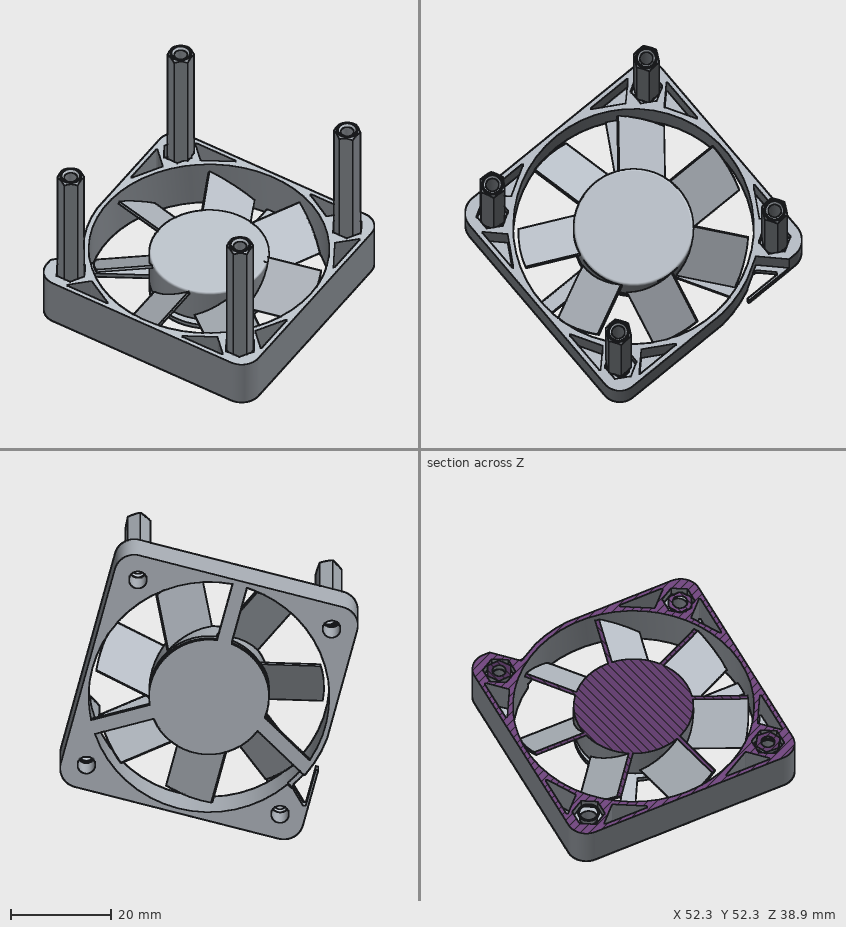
import cadquery as cq
import math


fan_turn = -3.23
half_side = 25.0
corner_radius = 4.0
housing_height = 10.6
bore_radius = 24.0
duct_radius = 25.1
mount_offset = 20.0
mount_hole_radius = 1.8

recess_rim = 1.0
recess_side_gap = 5.45
recess_duct_distance = 25.0
recess_slant = math.radians(30)
recess_fillet = 0.15
recess_floor = 2.5

lip_height = 2.5
lip_thickness = 0.5
lip_end = -9.15
outlet_ledge = 1.45
lip_fillet = 0.35
ledge_fillet = 1.0
outlet_start = math.sqrt(duct_radius**2 - half_side**2)
overcut = 2.6

base_radius = 12.0
base_thickness = 1.0
strut_width = 3.0
wire_channel_angle = 210
wire_channel_width = 3.65
strut_angles_and_shifts = [
    (90, 0),
    (wire_channel_angle, -(wire_channel_width + strut_width) / 2),
    (330, 0),
]

hub_radius = 12.0
hub_bottom = 2.5
hub_top = 10.0
hub_fillet = 0.5
blade_count = 7
first_blade_angle = 9.5
blade_tip_radius = 22.95
blade_high_edge = 2.9
blade_low_edge = -6.55
blade_high_z = 9.7
blade_low_z = 3.5
blade_thickness = 0.5

standoff_across_flats = 4.65
standoff_length = 30.0
standoff_bore_radius = 1.3
standoff_countersink_radius = 1.85
standoff_rim_radius = 2.15
seat_across_flats = 5.6
standoff_places = [
    (1, -1, 0, 0, 38.9),
    (-1, 1, 0.65, 0, 38.55),
    (1, 1, 0, -7.5, 37.8),
    (-1, -1, 0, 0, 37.15),
]
seat_floor = min(place[4] for place in standoff_places) - standoff_length


def turned(body):
    """Turn a body about the fan axis from the square position to the housing's position."""
    return body.rotate((0, 0, 0), (0, 0, 1), fan_turn)


def hex_prism(across_flats, bottom, top):
    """Upright hexagonal prism on the Z axis with two corners on the X axis."""
    across_corners = across_flats / math.cos(math.radians(30))
    return cq.Workplane("XY").workplane(offset=bottom).polygon(6, across_corners).extrude(top - bottom)


def upright_edge(x, y):
    """Selector for the vertical edge nearest to a point in the lower part of the housing."""
    return cq.selectors.NearestToPointSelector((x, y, lip_height / 2))


def recess_apex(side_gap):
    """Corner of a recess in the -X -Y corner, where its side y = x - side_gap meets the duct side."""
    x = (side_gap - recess_duct_distance / math.cos(recess_slant)) / (1 + math.tan(recess_slant))
    return x, x - side_gap


def corner_recess():
    """Triangular recess beside the -Y side, next to the -X -Y corner."""
    base_y = recess_rim - half_side
    tip_x = -(recess_duct_distance + base_y * math.cos(recess_slant)) / math.sin(recess_slant)
    return (
        cq.Workplane("XY").workplane(offset=recess_floor)
        .polyline([(base_y + recess_side_gap, base_y), (tip_x, base_y), recess_apex(recess_side_gap)]).close()
        .extrude(housing_height - recess_floor)
        .edges("|Z").fillet(recess_fillet)
    )


def outlet_space(side_gap, bottom, top):
    """Space between the duct wall and the -X side, closed by a 45 degree side y = x + side_gap."""
    outer = -half_side - overcut
    straight_angle = math.pi + recess_slant - math.acos(recess_duct_distance / duct_radius)
    start_angle = math.pi + math.asin(outlet_start / duct_radius)
    middle_angle = (start_angle + straight_angle) / 2
    apex_y, apex_x = recess_apex(side_gap)
    return (
        cq.Workplane("XY").workplane(offset=bottom)
        .moveTo(-half_side, -outlet_start)
        .threePointArc(
            (duct_radius * math.cos(middle_angle), duct_radius * math.sin(middle_angle)),
            (duct_radius * math.cos(straight_angle), duct_radius * math.sin(straight_angle)),
        )
        .lineTo(apex_x, apex_y)
        .lineTo(outer, outer + side_gap)
        .lineTo(outer, -outlet_start)
        .close()
        .extrude(top - bottom)
    )


def wire_outlet():
    """Opening outside the duct wall, which leaves a low ledge and lip at the bottom."""
    apex_y, apex_x = recess_apex(recess_side_gap)
    upper = outlet_space(recess_side_gap, lip_height, housing_height)
    upper = upper.edges("|Z").edges(upright_edge(apex_x, apex_y)).fillet(recess_fillet)

    ledge_gap = recess_side_gap + outlet_ledge
    ledge_y, ledge_x = recess_apex(ledge_gap)
    lip_inside = lip_thickness - half_side
    lip_depth = lip_thickness + overcut
    lip_length = half_side + lip_end
    lip = (
        cq.Workplane("XY").rect(lip_depth, lip_length).extrude(lip_height)
        .translate((lip_inside - lip_depth / 2, lip_end - lip_length / 2, 0))
    )
    lower = outlet_space(ledge_gap, 0, lip_height).cut(lip)
    lower = lower.edges("|Z").edges(upright_edge(ledge_x, ledge_y)).fillet(ledge_fillet)
    lower = lower.edges("|Z").edges(upright_edge(lip_inside, lip_inside + ledge_gap)).fillet(lip_fillet)
    return upper.union(lower)


def wire_channel():
    """Low passage through the duct wall, from the bore to the wire outlet."""
    length = duct_radius - base_radius
    return (
        cq.Workplane("XY").rect(length, wire_channel_width).extrude(base_thickness)
        .translate((base_radius + length / 2, 0, 0))
        .rotate((0, 0, 0), (0, 0, 1), wire_channel_angle)
    )


def place_standoff(body, place):
    """Move a body from the Z axis to a standoff's place, with its top at the standoff's top."""
    sign_x, sign_y, shift, twist, top = place
    body = body.rotate((0, 0, 0), (0, 0, 1), twist - fan_turn)
    body = turned(body.translate((sign_x * mount_offset, sign_y * mount_offset, top - standoff_length)))
    return body.translate((shift, 0, 0))


def standoff_blank():
    """Plain hexagonal bar with two flats facing along X."""
    return hex_prism(standoff_across_flats, 0, standoff_length).rotate((0, 0, 0), (0, 0, 1), 30)


def make_standoff():
    """Hexagonal standoff with a through bore and both ends chamfered inside and out."""
    corner_reach = standoff_across_flats
    cone_height = corner_reach - standoff_rim_radius
    sink_depth = standoff_countersink_radius - standoff_bore_radius
    envelope = (
        cq.Workplane("XZ")
        .polyline([
            (standoff_bore_radius, sink_depth),
            (standoff_countersink_radius, 0),
            (standoff_rim_radius, 0),
            (corner_reach, cone_height),
            (corner_reach, standoff_length - cone_height),
            (standoff_rim_radius, standoff_length),
            (standoff_countersink_radius, standoff_length),
            (standoff_bore_radius, standoff_length - sink_depth),
        ]).close()
        .revolve(360, (0, 0, 0), (0, 1, 0))
    )
    return standoff_blank().intersect(envelope)


def make_housing():
    """Square fan housing with the motor base, struts, standoff seats, recesses and wire outlet."""
    housing = (
        cq.Workplane("XY").rect(2 * half_side, 2 * half_side).extrude(housing_height)
        .edges("|Z").fillet(corner_radius)
        .cut(cq.Workplane("XY").circle(bore_radius).extrude(housing_height))
    )

    below_side = corner_recess()
    beside_side = below_side.mirror("YZ").rotate((0, 0, 0), (0, 0, 1), -90)
    for corner in range(4):
        housing = housing.cut(below_side.rotate((0, 0, 0), (0, 0, 1), 90 * corner))
        if corner > 0:
            housing = housing.cut(beside_side.rotate((0, 0, 0), (0, 0, 1), 90 * corner))
    housing = housing.cut(wire_outlet()).cut(wire_channel())

    mounts = [(x * mount_offset, y * mount_offset) for x in (-1, 1) for y in (-1, 1)]
    seat = hex_prism(seat_across_flats, seat_floor, housing_height)
    for x, y in mounts:
        housing = housing.cut(seat.translate((x, y, 0)))
    housing = housing.cut(
        cq.Workplane("XY").pushPoints(mounts).circle(mount_hole_radius).extrude(housing_height)
    )

    housing = housing.union(cq.Workplane("XY").circle(base_radius).extrude(base_thickness))
    strut_reach = (bore_radius + duct_radius) / 2
    inside_duct = cq.Workplane("XY").circle(strut_reach).extrude(base_thickness)
    for angle, shift in strut_angles_and_shifts:
        strut = (
            cq.Workplane("XY").center(strut_reach / 2, shift).rect(strut_reach, strut_width)
            .extrude(base_thickness).rotate((0, 0, 0), (0, 0, 1), angle)
        )
        housing = housing.union(strut.intersect(inside_duct))
    housing = turned(housing)

    for place in standoff_places:
        housing = housing.cut(place_standoff(standoff_blank(), place))
    return housing


def make_blade():
    """Flat pitched blade along +X, cut to the tip radius."""
    slope = math.atan2(blade_high_z - blade_low_z, blade_high_edge - blade_low_edge)
    drop = blade_thickness * math.cos(slope)
    lean = blade_thickness * math.sin(slope)
    root = hub_radius / 2
    sweep = (
        cq.Workplane("YZ").workplane(offset=root)
        .polyline([
            (blade_low_edge, blade_low_z),
            (blade_high_edge - lean, blade_high_z),
            (blade_high_edge, blade_high_z - drop),
            (blade_low_edge + lean, blade_low_z - drop),
        ]).close()
        .extrude(blade_tip_radius - root)
    )
    return sweep.intersect(cq.Workplane("XY").circle(blade_tip_radius).extrude(housing_height))


def make_rotor():
    """Hub with a rounded top edge and evenly spaced blades."""
    rotor = (
        cq.Workplane("XY").workplane(offset=hub_bottom).circle(hub_radius).extrude(hub_top - hub_bottom)
        .faces(">Z").edges().fillet(hub_fillet)
    )
    blade = make_blade()
    for index in range(blade_count):
        angle = first_blade_angle + index * 360 / blade_count
        rotor = rotor.union(blade.rotate((0, 0, 0), (0, 0, 1), angle))
    return rotor


housing = make_housing()
rotor = make_rotor()
standoffs = [place_standoff(make_standoff(), place) for place in standoff_places]

result = cq.Compound.makeCompound(
    [housing.val(), rotor.val(), *[standoff.val() for standoff in standoffs]]
)